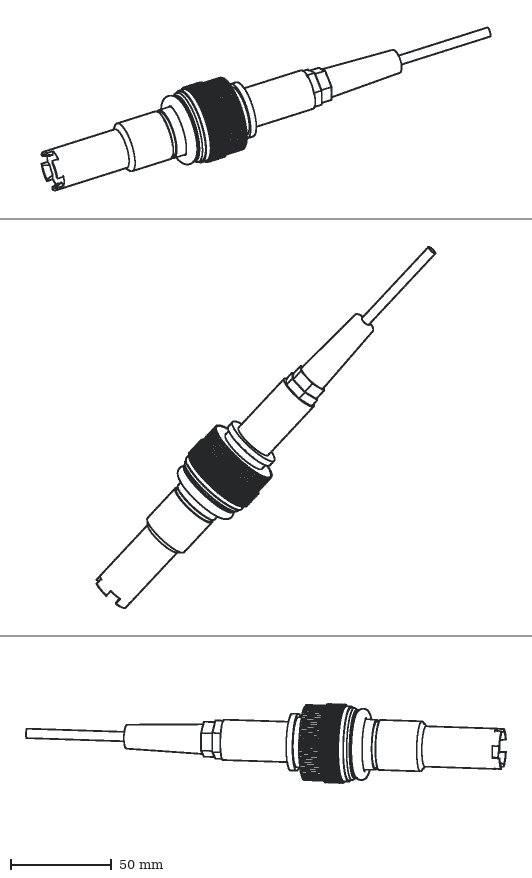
import cadquery as cq
import math

HALF_LENGTH = 119.8

CABLE_END = HALF_LENGTH
BOOT_END = 70.0
SMALL_HEX_END = 30.7
LARGE_HEX_END = 25.0
BARREL_END = 20.5
FLANGE_BACK = -13.5
FLANGE_FRONT = -16.5
NUT_BACK = -20.5
RIBS_FRONT = -30.7
KNURL_FRONT = -40.5
COLLAR_FRONT = -42.9
NOSE_BEVEL_START = -44.5
NOSE_BEVEL_END = -45.7
NUT_FRONT = -46.5
GROOVE_BACK = -56.0
GROOVE_FRONT = -58.0
SHOULDER_BEVEL_START = -78.8
SHOULDER_BEVEL_END = -81.0
TIP_END = -HALF_LENGTH

CABLE_RADIUS = 2.5
BOOT_TIP_RADIUS = 6.0
BOOT_BASE_RADIUS = 7.5
BOOT_TIP_FILLET = 1.0
SMALL_HEX_ACROSS_FLATS = 15.3
LARGE_HEX_ACROSS_FLATS = 16.8
BARREL_RADIUS = 10.0
FLANGE_RADIUS = 14.1
NECK_RADIUS = 12.5
GROOVE_RADIUS = 11.5

SLOT_WIDTH = 6.2
SLOT_DEPTH = 3.4
DOME_RADIUS = 7.5
DOME_HEIGHT = 1.2
TIP_MOUTH_RADIUS = 8.9
SLOT_FLOOR = TIP_END + SLOT_DEPTH

RIB_COUNT = 80
RIB_CREST_RADIUS = 18.7
RIB_DEPTH = 0.5
KNURL_CREST_DIAMETER = 39.0
KNURL_CREST_RADIUS = KNURL_CREST_DIAMETER / 2
KNURL_DEPTH = 1.0
KNURL_RINGS = 7
COLLAR_RADIUS = 18.7
NOSE_RADIUS = 18.0
NOSE_LIP_RADIUS = 17.0

RING_SECTION_RADIUS = 2.6
RING_CENTRE_RADIUS = NECK_RADIUS + RING_SECTION_RADIUS
RING_CENTRE_Y = NUT_FRONT - RING_SECTION_RADIUS


def turned(points):
    """Solid of revolution about Y from a closed (radius, y) outline."""
    return cq.Workplane("XY").polyline(points).close().revolve(360, (0, 0, 0), (0, 1, 0))


def plane_at(y):
    """Workplane across the probe axis whose normal points to +Y."""
    return cq.Workplane(cq.Plane((0, y, 0), xDir=(0, 0, 1), normal=(0, 1, 0)))


def hex_section(front, back, across_flats):
    """Hexagonal length with corners at +Z and -Z."""
    across_corners = across_flats / math.cos(math.pi / 6)
    return plane_at(front).polygon(6, across_corners).extrude(back - front)


def make_boot():
    """Tapered strain relief with a rounded end."""
    boot = turned([
        (0, SMALL_HEX_END),
        (BOOT_BASE_RADIUS, SMALL_HEX_END),
        (BOOT_TIP_RADIUS, BOOT_END),
        (0, BOOT_END),
    ])
    return boot.faces(">Y").edges().fillet(BOOT_TIP_FILLET)


def make_shaft():
    """Turned shaft from the barrel behind the flange to the sensing tip."""
    return turned([
        (0, BARREL_END),
        (BARREL_RADIUS, BARREL_END),
        (BARREL_RADIUS, FLANGE_BACK),
        (FLANGE_RADIUS, FLANGE_BACK),
        (FLANGE_RADIUS, FLANGE_FRONT),
        (NECK_RADIUS, FLANGE_FRONT),
        (NECK_RADIUS, GROOVE_BACK),
        (GROOVE_RADIUS, GROOVE_BACK),
        (GROOVE_RADIUS, GROOVE_FRONT),
        (NECK_RADIUS, GROOVE_FRONT),
        (NECK_RADIUS, SHOULDER_BEVEL_START),
        (BARREL_RADIUS, SHOULDER_BEVEL_END),
        (BARREL_RADIUS, TIP_END),
        (0, TIP_END),
    ])


def cut_tip(shaft):
    """Flared mouth with a domed floor, crossed by two slots that leave four prongs."""
    mouth = turned([
        (0, TIP_END),
        (TIP_MOUTH_RADIUS, TIP_END),
        (DOME_RADIUS, SLOT_FLOOR),
        (0, SLOT_FLOOR),
    ])
    slot_length = 2 * FLANGE_RADIUS
    slots = (
        plane_at(TIP_END)
        .rect(slot_length, SLOT_WIDTH)
        .extrude(SLOT_DEPTH)
        .union(plane_at(TIP_END).rect(SLOT_WIDTH, slot_length).extrude(SLOT_DEPTH))
    )
    sphere_radius = (DOME_RADIUS**2 + DOME_HEIGHT**2) / (2 * DOME_HEIGHT)
    half_angle = math.asin(DOME_RADIUS / sphere_radius) / 2
    dome_top = SLOT_FLOOR - DOME_HEIGHT
    dome_middle = (
        sphere_radius * math.sin(half_angle),
        dome_top + sphere_radius * (1 - math.cos(half_angle)),
    )
    dome = (
        cq.Workplane("XY")
        .moveTo(0, SLOT_FLOOR)
        .lineTo(DOME_RADIUS, SLOT_FLOOR)
        .threePointArc(dome_middle, (0, dome_top))
        .close()
        .revolve(360, (0, 0, 0), (0, 1, 0))
    )
    return shaft.cut(mouth).cut(slots).union(dome)


def make_sensor():
    cable = plane_at(BOOT_END).circle(CABLE_RADIUS).extrude(CABLE_END - BOOT_END)
    small_hex = hex_section(LARGE_HEX_END, SMALL_HEX_END, SMALL_HEX_ACROSS_FLATS)
    large_hex = hex_section(BARREL_END, LARGE_HEX_END, LARGE_HEX_ACROSS_FLATS)
    shaft = cut_tip(make_shaft())
    return shaft.union(large_hex).union(small_hex).union(make_boot()).union(cable)


def ribbed_band(front, back, crest_radius, depth):
    """Band with V-shaped ribs along Y all the way round."""
    points = []
    for i in range(2 * RIB_COUNT):
        radius = crest_radius if i % 2 == 0 else crest_radius - depth
        angle = math.pi * i / RIB_COUNT
        points.append((radius * math.cos(angle), radius * math.sin(angle)))
    return plane_at(front).polyline(points).close().extrude(back - front)


def make_knurl():
    """Ribbed band notched by V-shaped rings, leaving rows of small points."""
    pitch = (RIBS_FRONT - KNURL_FRONT) / KNURL_RINGS
    root_radius = KNURL_CREST_RADIUS - KNURL_DEPTH
    outline = [(0, KNURL_FRONT), (root_radius, KNURL_FRONT)]
    for i in range(KNURL_RINGS):
        row_front = KNURL_FRONT + i * pitch
        outline.append((KNURL_CREST_RADIUS, row_front + pitch / 2))
        outline.append((root_radius, row_front + pitch))
    outline.append((0, RIBS_FRONT))
    ribs = ribbed_band(KNURL_FRONT, RIBS_FRONT, KNURL_CREST_RADIUS, KNURL_DEPTH)
    return ribs.intersect(turned(outline))


def make_nut():
    """Coupling nut: ribbed back, knurled middle and stepped nose, bored to fit the neck."""
    nose = turned([
        (0, KNURL_FRONT),
        (COLLAR_RADIUS, KNURL_FRONT),
        (COLLAR_RADIUS, COLLAR_FRONT),
        (NOSE_RADIUS, COLLAR_FRONT),
        (NOSE_RADIUS, NOSE_BEVEL_START),
        (NOSE_LIP_RADIUS, NOSE_BEVEL_END),
        (NOSE_LIP_RADIUS, NUT_FRONT),
        (0, NUT_FRONT),
    ])
    ribs = ribbed_band(RIBS_FRONT, NUT_BACK, RIB_CREST_RADIUS, RIB_DEPTH)
    bore = plane_at(NUT_FRONT).circle(NECK_RADIUS).extrude(NUT_BACK - NUT_FRONT)
    return nose.union(make_knurl()).union(ribs).cut(bore)


def make_sealing_ring():
    return (
        cq.Workplane("XY")
        .center(RING_CENTRE_RADIUS, RING_CENTRE_Y)
        .circle(RING_SECTION_RADIUS)
        .revolve(360, (-RING_CENTRE_RADIUS, 0, 0), (-RING_CENTRE_RADIUS, 1, 0))
    )


sensor = make_sensor()
coupling_nut = make_nut()
sealing_ring = make_sealing_ring()

result = cq.Compound.makeCompound([sensor.val(), coupling_nut.val(), sealing_ring.val()])